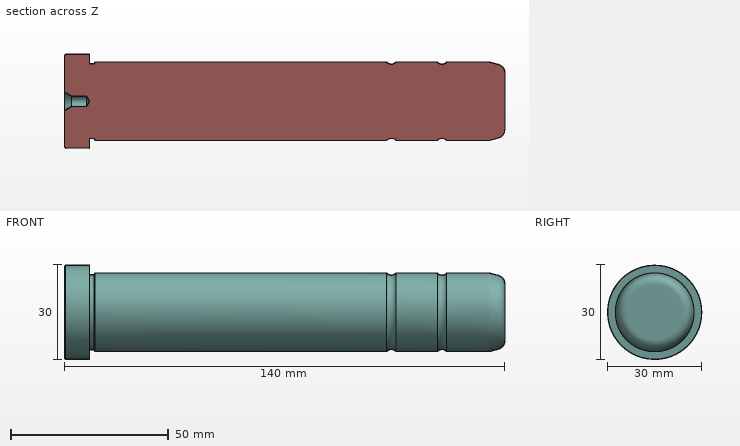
import cadquery as cq
import math

total_length = 140
head_diameter = 30.0
head_length = 8.0
head_chamfer = 0.4
shaft_diameter = 25.0

relief_depth = 0.5
relief_end = 9.8
relief_ramp = 0.4

groove_centers = (103.9, 120.0)
groove_width = 3.0
groove_depth = 0.7

nose_length = 5.0
nose_angle = math.radians(15)
nose_radius = 3.0

center_diameter = 3.2
center_mouth_diameter = 5.9
center_depth = 7.0
countersink_angle = math.radians(60)
drill_tip_angle = math.radians(118)

head_radius = head_diameter / 2
shaft_radius = shaft_diameter / 2


def add_groove(profile, center):
    """Continue the outline along the shaft and through one groove."""
    half_width = groove_width / 2
    return (
        profile.lineTo(center - half_width, shaft_radius)
        .threePointArc(
            (center, shaft_radius - groove_depth),
            (center + half_width, shaft_radius),
        )
    )


def add_nose(profile):
    """Continue the outline over the cone and rounded end to the end face."""
    arc_center_x = total_length - nose_radius
    cone_end_x = arc_center_x + nose_radius * math.sin(nose_angle)
    cone_start_x = total_length - nose_length
    cone_end_y = shaft_radius - (cone_end_x - cone_start_x) * math.tan(nose_angle)
    arc_center_y = cone_end_y - nose_radius * math.cos(nose_angle)
    middle_angle = (math.pi / 2 - nose_angle) / 2
    arc_middle = (
        arc_center_x + nose_radius * math.cos(middle_angle),
        arc_center_y + nose_radius * math.sin(middle_angle),
    )
    return (
        profile.lineTo(cone_start_x, shaft_radius)
        .lineTo(cone_end_x, cone_end_y)
        .threePointArc(arc_middle, (total_length, arc_center_y))
    )


def revolve_about_x(profile):
    return profile.close().revolve(360, (0, 0, 0), (1, 0, 0))


def make_pin():
    relief_radius = shaft_radius - relief_depth
    profile = (
        cq.Workplane("XY")
        .moveTo(0, 0)
        .lineTo(0, head_radius - head_chamfer)
        .lineTo(head_chamfer, head_radius)
        .lineTo(head_length, head_radius)
        .lineTo(head_length, relief_radius)
        .lineTo(relief_end - relief_ramp, relief_radius)
        .lineTo(relief_end, shaft_radius)
    )
    for center in groove_centers:
        profile = add_groove(profile, center)
    profile = add_nose(profile).lineTo(total_length, 0)
    return revolve_about_x(profile)


def make_center_hole():
    hole_radius = center_diameter / 2
    mouth_radius = center_mouth_diameter / 2
    countersink_depth = (mouth_radius - hole_radius) / math.tan(countersink_angle / 2)
    tip_length = hole_radius / math.tan(drill_tip_angle / 2)
    profile = (
        cq.Workplane("XY")
        .moveTo(0, 0)
        .lineTo(0, mouth_radius)
        .lineTo(countersink_depth, hole_radius)
        .lineTo(center_depth, hole_radius)
        .lineTo(center_depth + tip_length, 0)
    )
    return revolve_about_x(profile)


result = make_pin().cut(make_center_hole())